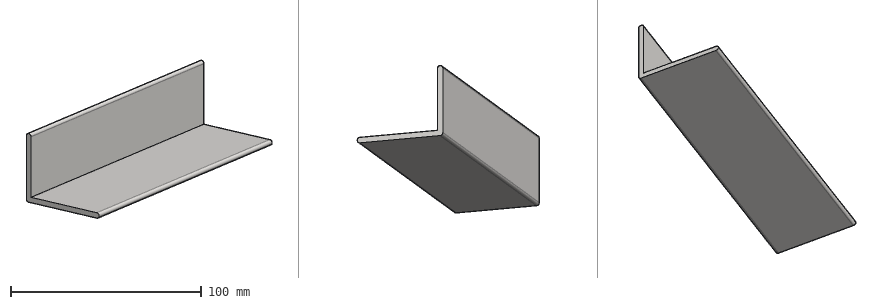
import cadquery as cq

length = 152.4
base_width = 47.7
wall_height = 38.1
thickness = 3.0

edge_radius = thickness / 2

left = -base_width / 2
bottom = -wall_height / 2
right = left + base_width
top = bottom + wall_height
base_top = bottom + thickness
wall_inside = left + thickness

section = (
    cq.Workplane("XZ")
    .moveTo(left, bottom)
    .lineTo(right - edge_radius, bottom)
    .threePointArc((right, bottom + edge_radius), (right - edge_radius, base_top))
    .lineTo(wall_inside, base_top)
    .lineTo(wall_inside, top - edge_radius)
    .threePointArc((left + edge_radius, top), (left, top - edge_radius))
    .close()
)
angle = section.extrude(length / 2, both=True)

outer_corner = cq.selectors.NearestToPointSelector((left, 0, bottom))
result = angle.edges("|Y").edges(outer_corner).fillet(edge_radius)